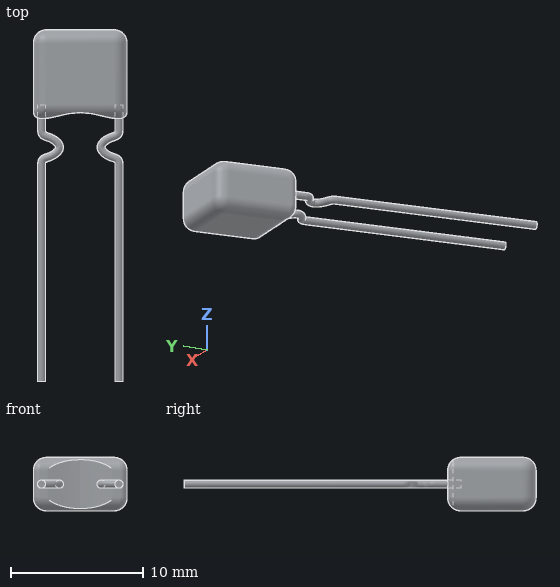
import cadquery as cq

OVERALL_LENGTH = 26.65
BODY_WIDTH = 7.12
BODY_LENGTH = 6.72
BODY_HEIGHT = 4.08
BODY_BACK_Y = OVERALL_LENGTH / 2
BODY_FRONT_Y = BODY_BACK_Y - BODY_LENGTH

EDGE_RADIUS = 1.0
FRONT_CORNER_RADIUS = 0.5

SCOOP_HALF_WIDTH = 2.45
SCOOP_DEPTH = 0.43
SCOOP_RIM_SLOPE = 0.15

LEAD_DIAMETER = 0.6
LEAD_OFFSET = 2.93
LEAD_END_Y = -OVERALL_LENGTH / 2
STUB_LENGTH = 0.93
LEAD_INSERTION = 1.0
LEAD_TOP_Y = BODY_FRONT_Y + LEAD_INSERTION

KINK_START_Y = BODY_FRONT_Y - STUB_LENGTH
KINK_LENGTH = 2.5
KINK_END_Y = KINK_START_Y - KINK_LENGTH
KINK_APEX_Y = (KINK_START_Y + KINK_END_Y) / 2
KINK_DEPTH = 1.35
FLANK_DEPTH = 0.6
FLANK_RUN = 0.53


def make_block():
    """Body block with every edge rounded, the front upright corners more tightly."""
    block = cq.Workplane("XY").box(BODY_WIDTH, BODY_LENGTH, BODY_HEIGHT)
    block = block.translate((0, BODY_FRONT_Y + BODY_LENGTH / 2, 0))
    block = block.edges("|X or |Y or (|Z and >Y)").fillet(EDGE_RADIUS)
    return block.faces("<Y").edges("|Z").fillet(FRONT_CORNER_RADIUS)


def make_scoop():
    """Upright cutter with a smooth bell-shaped profile that hollows the front face."""
    return (
        cq.Workplane("XY", origin=(0, BODY_FRONT_Y, -BODY_HEIGHT / 2))
        .moveTo(-SCOOP_HALF_WIDTH, 0)
        .spline([(0, SCOOP_DEPTH)], tangents=[(1, SCOOP_RIM_SLOPE), (1, 0)], includeCurrent=True)
        .spline([(SCOOP_HALF_WIDTH, 0)], tangents=[(1, 0), (1, -SCOOP_RIM_SLOPE)], includeCurrent=True)
        .close()
        .extrude(BODY_HEIGHT)
    )


def make_lead(side):
    """One round wire: straight into the body, a smooth inward kink, then a long straight leg."""
    outer_x = side * LEAD_OFFSET
    flank_x = side * (LEAD_OFFSET - FLANK_DEPTH)
    apex_x = side * (LEAD_OFFSET - KINK_DEPTH)
    along_wire = (0, -1)

    path = (
        cq.Workplane("XY")
        .moveTo(outer_x, LEAD_TOP_Y)
        .lineTo(outer_x, KINK_START_Y)
        .spline(
            [
                (flank_x, KINK_START_Y - FLANK_RUN),
                (apex_x, KINK_APEX_Y),
                (flank_x, KINK_END_Y + FLANK_RUN),
                (outer_x, KINK_END_Y),
            ],
            tangents=[along_wire, along_wire],
            includeCurrent=True,
        )
        .lineTo(outer_x, LEAD_END_Y)
    )
    profile = cq.Workplane("XZ", origin=(outer_x, LEAD_TOP_Y, 0)).circle(LEAD_DIAMETER / 2)
    return profile.sweep(path)


leads = [make_lead(side) for side in (-1, 1)]

body = make_block().cut(make_scoop())
for lead in leads:
    body = body.cut(lead)

result = cq.Compound.makeCompound([body.val(), *[lead.val() for lead in leads]])